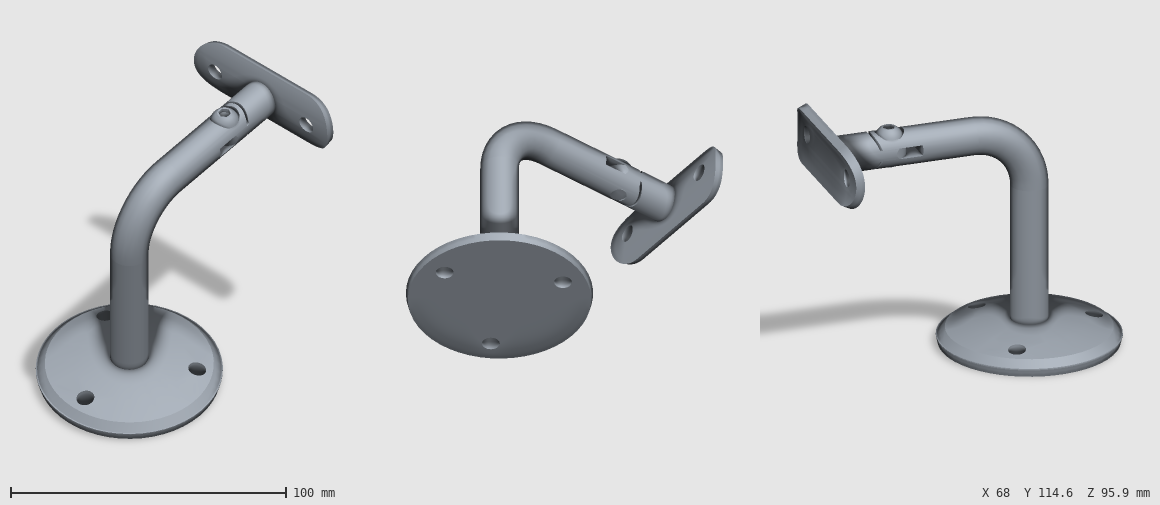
import cadquery as cq
import math


ROSE_FOOT_RADIUS = 33.3
ROSE_RADIUS = 34.0
ROSE_RIM_BOTTOM = 2.75
ROSE_RIM_TOP = 3.15
CHAMFER_FOOT_RADIUS = 33.5
DOME_RADIUS = 30.7
DOME_EDGE_HEIGHT = 5.8
DOME_TOP_HEIGHT = 9.55
ROSE_HOLE_COUNT = 3
ROSE_HOLE_CIRCLE_RADIUS = 25.0
SCREW_HOLE_DIAMETER = 6.5

ROD_RADIUS = 7.0
ARM_HEIGHT = 84.0
BEND_RADIUS = 22.0

PIVOT_Y = 54.2
ARM_END_Y = 61.3
JOINT_GAP = 1.0
JOINT_ARC_RADIUS = 10.5
SLOT_HEIGHT = 4.2
SLOT_END_Y = PIVOT_Y - 10.8
TONGUE_TIP_RADIUS = 7.1
TONGUE_TIP_CENTRE_Y = PIVOT_Y + 0.6

SHANK_RADIUS = 3.0
SHANK_END_Z = ARM_HEIGHT - 6.5
SPOTFACE_RADIUS = 5.5
SPOTFACE_Z = ARM_HEIGHT + 5.1
HEAD_RADIUS = 5.25
HEAD_TOP_RADIUS = 2.7
HEAD_HEIGHT = 3.15
HEAD_TOP_Z = SPOTFACE_Z + HEAD_HEIGHT
HEX_ACROSS_FLATS = 4.0
HEX_DEPTH = 1.6
HEX_CONE_DEPTH = 1.0

RAIL_RADIUS = 22.0
SADDLE_THICKNESS = 3.4
SADDLE_OUTER_RADIUS = RAIL_RADIUS + SADDLE_THICKNESS
SADDLE_LENGTH = 63.0
SADDLE_STRAIGHT_LENGTH = 39.0
SADDLE_HALF_HEIGHT = 11.94
SADDLE_HOLE_SPACING = 43.0
SADDLE_EDGE_Y = 80.64
SADDLE_HALF_ANGLE = math.asin(SADDLE_HALF_HEIGHT / SADDLE_OUTER_RADIUS)
RAIL_AXIS_Y = SADDLE_EDGE_Y + RAIL_RADIUS * math.cos(SADDLE_HALF_ANGLE)


def vertical_cylinder(radius, bottom, top, y):
    """Upright cylinder with its axis on X = 0."""
    return cq.Workplane("XY", origin=(0, y, bottom)).circle(radius).extrude(top - bottom)


def box_along_arm(width, start_y, end_y, height):
    """Box centred on the arm axis between two Y positions."""
    centre = (0, (start_y + end_y) / 2, ARM_HEIGHT)
    return cq.Workplane("XY", origin=centre).box(width, end_y - start_y, height)


def slot_slab(start_y):
    """Level slab with the slot's height, from start_y out past the joint."""
    return box_along_arm(4 * ROD_RADIUS, start_y, RAIL_AXIS_Y, SLOT_HEIGHT)


def beyond_joint_arc(crown_y):
    """Space on the stem side of an upright round face whose crown is at crown_y."""
    centre_y = crown_y - JOINT_ARC_RADIUS
    space = box_along_arm(2 * JOINT_ARC_RADIUS, centre_y, RAIL_AXIS_Y, 4 * ROD_RADIUS)
    crown = vertical_cylinder(
        JOINT_ARC_RADIUS, ARM_HEIGHT - 2 * ROD_RADIUS, ARM_HEIGHT + 2 * ROD_RADIUS, centre_y
    )
    return space.cut(crown)


def pivot_hole():
    return vertical_cylinder(
        SHANK_RADIUS, ARM_HEIGHT - 2 * ROD_RADIUS, ARM_HEIGHT + 2 * ROD_RADIUS, PIVOT_Y
    )


def rail_cylinder(radius):
    """Cylinder along X around the handrail axis."""
    start = (-SADDLE_LENGTH, RAIL_AXIS_Y, ARM_HEIGHT)
    return cq.Workplane("YZ", origin=start).circle(radius).extrude(2 * SADDLE_LENGTH)


def make_rose():
    """Domed round base with a chamfered edge and three fixing holes."""
    rise = DOME_TOP_HEIGHT - DOME_EDGE_HEIGHT
    sphere_radius = (DOME_RADIUS**2 + rise**2) / (2 * rise)
    rose = (
        cq.Workplane("XZ")
        .lineTo(ROSE_FOOT_RADIUS, 0)
        .lineTo(ROSE_RADIUS, ROSE_RIM_BOTTOM)
        .lineTo(ROSE_RADIUS, ROSE_RIM_TOP)
        .lineTo(CHAMFER_FOOT_RADIUS, ROSE_RIM_TOP)
        .lineTo(DOME_RADIUS, DOME_EDGE_HEIGHT)
        .radiusArc((0, DOME_TOP_HEIGHT), -sphere_radius)
        .close()
        .revolve(360, (0, 0, 0), (0, 1, 0))
    )
    holes = (
        cq.Workplane("XY")
        .polarArray(ROSE_HOLE_CIRCLE_RADIUS, -90, 360, ROSE_HOLE_COUNT)
        .circle(SCREW_HOLE_DIAMETER / 2)
        .extrude(DOME_TOP_HEIGHT)
    )
    return rose.cut(holes)


def make_arm(rose):
    """Rod that rises from the dome of the rose, bends level and ends in a slotted fork."""
    path = (
        cq.Workplane("YZ")
        .lineTo(0, ARM_HEIGHT - BEND_RADIUS)
        .radiusArc((BEND_RADIUS, ARM_HEIGHT), BEND_RADIUS)
        .lineTo(ARM_END_Y, ARM_HEIGHT)
    )
    rod = cq.Workplane("XY").circle(ROD_RADIUS).sweep(path)
    spotface = vertical_cylinder(SPOTFACE_RADIUS, SPOTFACE_Z, SPOTFACE_Z + ROD_RADIUS, PIVOT_Y)
    return (
        rod.cut(rose)
        .cut(beyond_joint_arc(ARM_END_Y))
        .cut(slot_slab(SLOT_END_Y))
        .cut(spotface)
        .cut(pivot_hole())
    )


def make_stem():
    """Short rod on the saddle with a round-tipped tongue that enters the fork."""
    rod = (
        cq.Workplane("XZ", origin=(0, 0, ARM_HEIGHT))
        .circle(ROD_RADIUS)
        .extrude(-RAIL_AXIS_Y)
        .cut(rail_cylinder(SADDLE_OUTER_RADIUS))
    )
    tip = vertical_cylinder(
        TONGUE_TIP_RADIUS,
        ARM_HEIGHT - SLOT_HEIGHT / 2,
        ARM_HEIGHT + SLOT_HEIGHT / 2,
        TONGUE_TIP_CENTRE_Y,
    )
    tongue = rod.intersect(slot_slab(TONGUE_TIP_CENTRE_Y).union(tip))
    shoulder = rod.intersect(beyond_joint_arc(ARM_END_Y + JOINT_GAP))
    return shoulder.union(tongue).cut(pivot_hole())


def make_screw():
    """Button-head pivot screw with a cone-bottomed hexagon socket."""
    shank = vertical_cylinder(SHANK_RADIUS, SHANK_END_Z, SPOTFACE_Z, PIVOT_Y)
    centre_drop = (HEAD_RADIUS**2 - HEAD_TOP_RADIUS**2 - HEAD_HEIGHT**2) / (2 * HEAD_HEIGHT)
    head_sphere_radius = math.hypot(HEAD_RADIUS, centre_drop)
    head = (
        cq.Workplane("XZ", origin=(0, PIVOT_Y, SPOTFACE_Z))
        .lineTo(HEAD_RADIUS, 0)
        .radiusArc((HEAD_TOP_RADIUS, HEAD_HEIGHT), -head_sphere_radius)
        .lineTo(0, HEAD_HEIGHT)
        .close()
        .revolve(360, (0, 0, 0), (0, 1, 0))
    )
    hex_floor_z = HEAD_TOP_Z - HEX_DEPTH
    socket = (
        cq.Workplane("XY", origin=(0, PIVOT_Y, hex_floor_z))
        .polygon(6, HEX_ACROSS_FLATS, circumscribed=True)
        .extrude(HEX_DEPTH)
    )
    cone_tip = cq.Vector(0, PIVOT_Y, hex_floor_z - HEX_CONE_DEPTH)
    socket_cone = cq.Solid.makeCone(0, HEX_ACROSS_FLATS / 2, HEX_CONE_DEPTH, cone_tip)
    return shank.union(head).cut(socket).cut(cq.Workplane(socket_cone))


def saddle_slot(plane, distance):
    """Slot outline on a plane at this distance from the rail axis, taller further out."""
    half_straight = SADDLE_STRAIGHT_LENGTH / 2
    end_length = (SADDLE_LENGTH - SADDLE_STRAIGHT_LENGTH) / 2
    half_height = distance * math.tan(SADDLE_HALF_ANGLE)
    return (
        plane.moveTo(-half_straight, -half_height)
        .lineTo(half_straight, -half_height)
        .ellipseArc(end_length, half_height, -90, 90)
        .lineTo(-half_straight, half_height)
        .ellipseArc(end_length, half_height, 90, 270)
        .close()
    )


def make_saddle():
    """Curved slot-shaped plate with edges radial to the rail axis and two fixing holes."""
    near = RAIL_RADIUS / 2
    far = 2 * RAIL_RADIUS
    near_plane = cq.Workplane("XZ", origin=(0, RAIL_AXIS_Y - near, ARM_HEIGHT))
    far_plane = saddle_slot(near_plane, near).workplane(offset=far - near)
    wedge = saddle_slot(far_plane, far).loft(ruled=True)
    holes = (
        cq.Workplane("XZ", origin=(0, 0, ARM_HEIGHT))
        .rarray(SADDLE_HOLE_SPACING, 1, 2, 1)
        .circle(SCREW_HOLE_DIAMETER / 2)
        .extrude(-RAIL_AXIS_Y)
    )
    shell = rail_cylinder(SADDLE_OUTER_RADIUS).cut(rail_cylinder(RAIL_RADIUS))
    return shell.intersect(wedge).cut(holes)


rose = make_rose()
arm = make_arm(rose)
stem = make_stem()
screw = make_screw()
saddle = make_saddle()

bodies = (rose, arm, stem, screw, saddle)
result = cq.Compound.makeCompound([body.solids().val() for body in bodies])